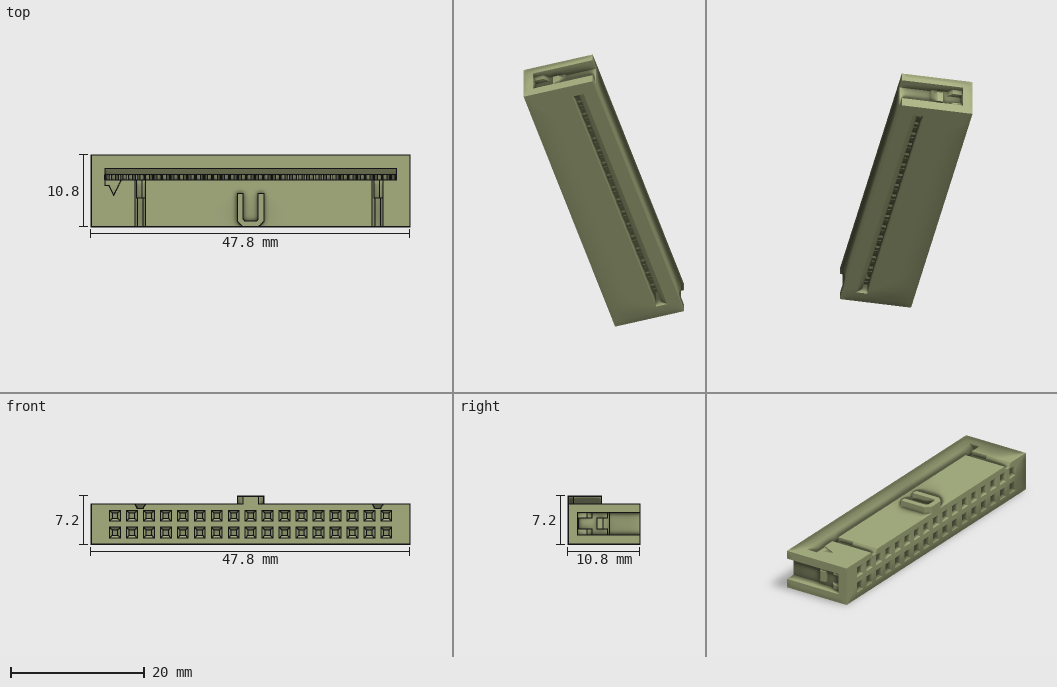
import cadquery as cq


length = 47.8
depth = 10.8
total_height = 7.2
key_height = 1.15
body_height = total_height - key_height
mid_z = body_height / 2

columns = 17
row_span = 40.65
pitch = row_span / (columns - 1)
row_z = (mid_z - pitch / 2, mid_z + pitch / 2)
first_column_x = -row_span / 2

socket_mouth = 1.63
socket_floor = 0.8
socket_depth = (socket_mouth - socket_floor) / 2

key_width = 3.95
key_length = 5.0
key_wall = 0.85
key_chamfer = 0.8
key_inner_chamfer = 0.3

slot_length = 43.65
slot_front_y = 7.05
slot_back_y = 7.85
slot_flare = 0.9

blade_width = 1.45
blade_thickness = 0.4
slit_width = 0.165
slit_mouth = 0.4
slit_mouth_length = 0.12
wire_pitch = pitch / 2
first_wire_x = -(2 * columns - 1) * wire_pitch / 2

channel_bottom_z = 1.4
channel_top_z = 4.8
channel_front_y = 1.45
channel_depth = 1.75
ramp_start_y = 6.2
arm_depth = 1.5
raised_depth = 0.75
bump_front_y = 4.35
corner_ramp_y = 3.6
end_draft = 0.15
tongue_bottom_z = 2.3
tongue_top_z = 3.95

groove_first_x = -16.55
columns_between_grooves = 14
groove_spacing = columns_between_grooves * pitch
groove_top_width = 1.63
groove_floor_width = 0.8
groove_depth = 0.65
pocket_left_offset = -0.53
pocket_right_offset = 0.3
ledge_right_offset = 0.8
pocket_front_y = 4.3
pocket_depth = 0.85

arrow_depth = 0.2
arrow_x = -20.5
arrow_width = 2.25
arrow_length = 2.3
arrow_tab_length = 0.8


def block(x_range, y_range, z_range):
    """Box between the given limits."""
    (x0, x1), (y0, y1), (z0, z1) = x_range, y_range, z_range
    return cq.Workplane("XY").box(x1 - x0, y1 - y0, z1 - z0, centered=False).translate((x0, y0, z0))


def polygon_prism(points, bottom_z, top_z):
    """Prism with a plan outline in X and Y."""
    return cq.Workplane("XY").workplane(offset=bottom_z).polyline(points).close().extrude(top_z - bottom_z)


def housing():
    return block((-length / 2, length / 2), (0, depth), (0, body_height))


def key():
    """U-shaped rib, open toward the back, with its outer corners chamfered at the mating face."""
    half = key_width / 2
    inner = half - key_wall
    base_half = half - key_chamfer
    inner_base = inner - key_inner_chamfer
    inner_corner_y = key_wall + key_inner_chamfer
    outline = [
        (-base_half, 0), (base_half, 0), (half, key_chamfer), (half, key_length),
        (inner, key_length), (inner, inner_corner_y), (inner_base, key_wall),
        (-inner_base, key_wall), (-inner, inner_corner_y), (-inner, key_length),
        (-half, key_length), (-half, key_chamfer),
    ]
    return polygon_prism(outline, body_height, total_height)


def sockets():
    """Tapered square recesses, one per contact."""
    centres = [(first_column_x + i * pitch, z) for i in range(columns) for z in row_z]
    funnel = (
        cq.Workplane("XZ").rect(socket_mouth, socket_mouth)
        .workplane(offset=-socket_depth).rect(socket_floor, socket_floor)
        .loft(combine=True).val()
    )
    solids = [funnel.translate(cq.Vector(x, 0, z)) for x, z in centres]
    return cq.Workplane(cq.Compound.makeCompound(solids))


def cable_slot():
    """Through slot whose back wall flares at 45 degrees to the top and bottom faces."""
    profile = [
        (slot_front_y, 0),
        (slot_back_y + slot_flare, 0),
        (slot_back_y, slot_flare),
        (slot_back_y, body_height - slot_flare),
        (slot_back_y + slot_flare, body_height),
        (slot_front_y, body_height),
    ]
    return cq.Workplane("YZ").polyline(profile).close().extrude(slot_length / 2, both=True)


def blades():
    """Slit blades bridging the slot, alternating between the upper and lower rows."""
    solids = []
    mouth_y = slot_back_y - slit_mouth_length
    for i in range(2 * columns):
        x = first_wire_x + i * wire_pitch
        z = row_z[(i + 1) % 2]
        z_range = (z - blade_thickness / 2, z + blade_thickness / 2)
        half = blade_width / 2
        blade = block((x - half, x + half), (slot_front_y, slot_back_y), z_range)
        slit = polygon_prism(
            [
                (x - slit_width / 2, slot_front_y), (x + slit_width / 2, slot_front_y),
                (x + slit_width / 2, mouth_y), (x + slit_mouth / 2, slot_back_y),
                (x - slit_mouth / 2, slot_back_y), (x - slit_width / 2, mouth_y),
            ],
            *z_range,
        )
        solids.extend(blade.cut(slit).solids().vals())
    return cq.Workplane(cq.Compound.makeCompound(solids))


def end_channel():
    """Channel in the -X end; its floor steps outward toward the mating face by 45 degree ramps."""
    end_x = -length / 2
    floor_x = end_x + channel_depth
    arm_x = end_x + arm_depth
    raised_x = end_x + raised_depth
    arm_y = ramp_start_y - (channel_depth - arm_depth)
    bump_back_y = ramp_start_y - (channel_depth - raised_depth)
    corner_raised_y = corner_ramp_y - (arm_depth - raised_depth)
    back = [(end_x, depth), (floor_x, depth), (floor_x, ramp_start_y)]

    side = back + [
        (arm_x, arm_y), (arm_x, corner_ramp_y), (raised_x, corner_raised_y),
        (raised_x, channel_front_y), (end_x, channel_front_y),
    ]
    tongue = back + [
        (raised_x, bump_back_y), (raised_x, bump_front_y), (arm_x, bump_front_y),
        (arm_x, channel_front_y + end_draft), (end_x, channel_front_y),
    ]
    return (
        polygon_prism(side, channel_bottom_z, tongue_bottom_z)
        .union(polygon_prism(tongue, tongue_bottom_z, tongue_top_z))
        .union(polygon_prism(side, tongue_top_z, channel_top_z))
    )


def groove(centre_x):
    """Tapered groove from mating face to slot, with a straight-walled pocket and ledge at the slot end."""
    floor_z = body_height - groove_depth
    taper = (
        cq.Workplane("XZ")
        .polyline([
            (centre_x - groove_top_width / 2, body_height),
            (centre_x + groove_top_width / 2, body_height),
            (centre_x + groove_floor_width / 2, floor_z),
            (centre_x - groove_floor_width / 2, floor_z),
        ])
        .close().extrude(-slot_front_y)
    )
    pocket = block(
        (centre_x + pocket_left_offset, centre_x + pocket_right_offset),
        (pocket_front_y, slot_front_y),
        (body_height - pocket_depth, body_height),
    )
    ledge = block(
        (centre_x + pocket_right_offset, centre_x + ledge_right_offset),
        (pocket_front_y, slot_front_y),
        (floor_z, body_height),
    )
    return taper.union(pocket).union(ledge)


def arrow():
    """Triangle pointing to the mating face, with a short tab out to the end of the slot."""
    tip_y = slot_front_y - arrow_length
    triangle = [
        (arrow_x - arrow_width / 2, slot_front_y),
        (arrow_x + arrow_width / 2, slot_front_y),
        (arrow_x, tip_y),
    ]
    tab = block(
        (-slot_length / 2, arrow_x), (slot_front_y - arrow_tab_length, slot_front_y),
        (body_height - arrow_depth, body_height),
    )
    return polygon_prism(triangle, body_height - arrow_depth, body_height).union(tab)


channel = end_channel()
body = housing().union(key()).cut(sockets()).cut(cable_slot())
body = body.cut(channel).cut(channel.mirror("YZ"))
for groove_x in (groove_first_x, groove_first_x + groove_spacing):
    body = body.cut(groove(groove_x))
body = body.cut(arrow())
result = body.union(blades())